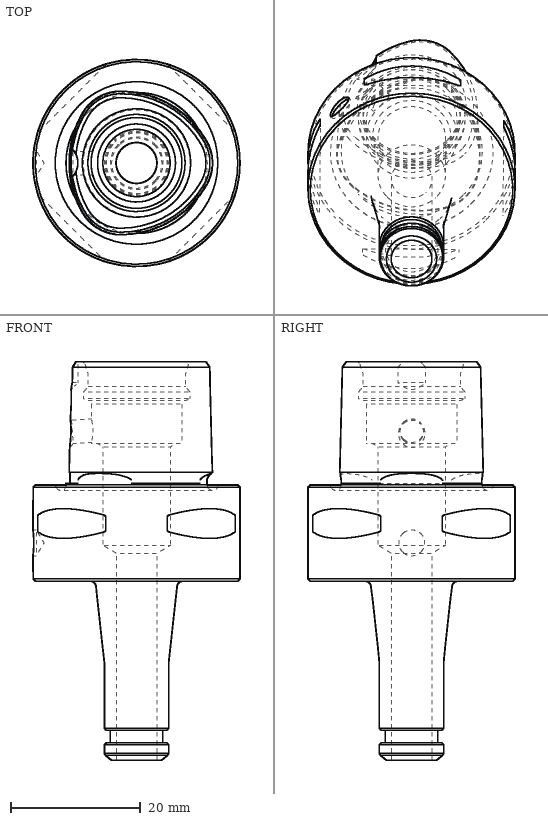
import cadquery as cq
import math

TOTAL_HEIGHT = 61.5
FLANGE_BOTTOM = 27.6
FLANGE_TOP = 42.5
NECK_TOP = 44.4

FLANGE_RADIUS = 16
FLANGE_CHAMFER = 0.35

LOBE_OFFSET = 4.9
LOBE_TIP_RADIUS = 11.75
TAPER_PER_SIDE = 1 / 40
TOP_CHAMFER_HEIGHT = 0.85
TOP_CHAMFER_WIDTH = 0.6
NECK_INSET = 0.1

NECK_RADIUS = 10.9
GROOVE_OUTER_RADIUS = 12.55
COVE_RADIUS = 1.35
SEAT_HEIGHT = 0.25

PIN_RADIUS = 5.0
PIN_ROOT_RADIUS = 6.3
PIN_ROOT_FILLET = 0.85
PIN_TAPER_BOTTOM = 15.05
PIN_EDGE_CHAMFER = 0.3
PIN_GROOVE_RADIUS = 4.05
PIN_GROOVE_BOTTOM = 2.7
PIN_GROOVE_TOP = 4.6
PIN_TIP_RADIUS = 3.9
PIN_TIP_CHAMFER_HEIGHT = 0.75
PIN_TIP_BLEND_HEIGHT = 0.35
PIN_TIP_BLEND_WIDTH = 0.2

DRILL_POINT_ANGLE = 118

MOUTH_RADIUS = 8.35
MOUTH_ROUNDING = 0.75
LEAD_RADIUS = 7.95
LEAD_DEPTH = 0.55
LAND_RADIUS = 7.5
LAND_START_DEPTH = 1.9
LAND_END_DEPTH = 3.8
CLAMP_GROOVE_RADIUS = 8.25
CLAMP_GROOVE_DEPTH = 4.7
CLAMP_COVE_DEPTH = 5.65
CLAMP_COVE_HEIGHT = 0.3
SLEEVE_RADIUS = 7.0
SLEEVE_DEPTH = 12.6
STEP_RADIUS = 6.0
WELL_RADIUS = 5.195
WELL_DEPTH = 28.3
THROUGH_RADIUS = 3.15

GRIPPER_HEIGHT = 36.55
GRIPPER_FLOOR_DISTANCE = 14.15
GRIPPER_FLOOR_HALF_HEIGHT = 1.2
GRIPPER_WALL_ANGLE = 30
GRIPPER_FLOOR_FILLET = 0.4

MARK_RADIUS = 2.0
MARK_HEIGHT = 33.6
MARK_DEPTH = 0.5

CROSS_HOLE_RADIUS = 1.815
CROSS_HOLE_MOUTH_RADIUS = 2.0
CROSS_HOLE_HEIGHT = 50.7
CROSS_HOLE_START = 10.15
CROSS_HOLE_LEAD_OUT = 0.6
CROSS_HOLE_RISE_ANGLE = 4

NOTCH_RADIUS = 3.1
NOTCH_INNER_DISTANCE = 9.05
NOTCH_DEPTH = 3.2


def polygon_outline(level, inset=0):
    """Closed three-lobed outline on a horizontal plane, moved inward by inset."""
    lobe_radius = LOBE_TIP_RADIUS - LOBE_OFFSET - inset
    side_radius = lobe_radius + LOBE_OFFSET * math.sqrt(3)
    lobe_tip = LOBE_OFFSET + lobe_radius
    side_middle = side_radius - LOBE_OFFSET

    def polar(radius, degrees):
        angle = math.radians(degrees)
        return radius * math.cos(angle), radius * math.sin(angle)

    joint_x = LOBE_OFFSET + lobe_radius * math.cos(math.radians(30))
    joint_y = lobe_radius * math.sin(math.radians(30))
    joint_radius = math.hypot(joint_x, joint_y)
    joint_angle = math.degrees(math.atan2(joint_y, joint_x))

    outline = cq.Workplane("XY").workplane(offset=level).moveTo(*polar(joint_radius, -joint_angle))
    for lobe_angle in (0, 120, 240):
        outline = outline.threePointArc(
            polar(lobe_tip, lobe_angle), polar(joint_radius, lobe_angle + joint_angle)
        )
        outline = outline.threePointArc(
            polar(side_middle, lobe_angle + 60), polar(joint_radius, lobe_angle + 120 - joint_angle)
        )
    return outline.close().wires().val()


def polygon_section(bottom, top, bottom_inset, top_inset):
    wires = [polygon_outline(bottom, bottom_inset), polygon_outline(top, top_inset)]
    return cq.Workplane(obj=cq.Solid.makeLoft(wires, True))


def make_polygon():
    chamfer_start = TOTAL_HEIGHT - TOP_CHAMFER_HEIGHT
    taper_inset = (chamfer_start - NECK_TOP) * TAPER_PER_SIDE
    taper = polygon_section(NECK_TOP, chamfer_start, 0, taper_inset)
    chamfer = polygon_section(chamfer_start, TOTAL_HEIGHT, taper_inset, taper_inset + TOP_CHAMFER_WIDTH)
    neck = polygon_section(FLANGE_TOP, NECK_TOP, NECK_INSET, NECK_INSET)
    seat = cq.Workplane("XY").workplane(offset=FLANGE_TOP).circle(NECK_RADIUS).extrude(SEAT_HEIGHT)
    return taper.union(chamfer).union(neck).union(seat)


def make_flange_and_pin():
    groove_chamfer_radius = PIN_RADIUS - PIN_EDGE_CHAMFER
    profile = (
        cq.Workplane("XZ")
        .lineTo(PIN_TIP_RADIUS, 0)
        .lineTo(PIN_RADIUS - PIN_TIP_BLEND_WIDTH, PIN_TIP_CHAMFER_HEIGHT)
        .lineTo(PIN_RADIUS, PIN_TIP_CHAMFER_HEIGHT + PIN_TIP_BLEND_HEIGHT)
        .lineTo(PIN_RADIUS, PIN_GROOVE_BOTTOM - PIN_EDGE_CHAMFER)
        .lineTo(groove_chamfer_radius, PIN_GROOVE_BOTTOM)
        .lineTo(PIN_GROOVE_RADIUS, PIN_GROOVE_BOTTOM)
        .lineTo(PIN_GROOVE_RADIUS, PIN_GROOVE_TOP)
        .lineTo(groove_chamfer_radius, PIN_GROOVE_TOP)
        .lineTo(PIN_RADIUS, PIN_GROOVE_TOP + PIN_EDGE_CHAMFER)
        .lineTo(PIN_RADIUS, PIN_TAPER_BOTTOM)
        .lineTo(PIN_ROOT_RADIUS, FLANGE_BOTTOM - PIN_ROOT_FILLET)
        .radiusArc((PIN_ROOT_RADIUS + PIN_ROOT_FILLET, FLANGE_BOTTOM), PIN_ROOT_FILLET)
        .lineTo(FLANGE_RADIUS - FLANGE_CHAMFER, FLANGE_BOTTOM)
        .lineTo(FLANGE_RADIUS, FLANGE_BOTTOM + FLANGE_CHAMFER)
        .lineTo(FLANGE_RADIUS, FLANGE_TOP - FLANGE_CHAMFER)
        .lineTo(FLANGE_RADIUS - FLANGE_CHAMFER, FLANGE_TOP)
        .lineTo(0, FLANGE_TOP)
        .close()
    )
    return profile.revolve(360, (0, 0), (0, 1))


def make_neck_groove():
    """Ring with a half-round bottom and a cove under the polygon lobes."""
    groove_radius = (GROOVE_OUTER_RADIUS - NECK_RADIUS) / 2
    profile = (
        cq.Workplane("XZ")
        .moveTo(NECK_RADIUS, FLANGE_TOP)
        .threePointArc(
            (NECK_RADIUS + groove_radius, FLANGE_TOP - groove_radius), (GROOVE_OUTER_RADIUS, FLANGE_TOP)
        )
        .lineTo(GROOVE_OUTER_RADIUS, NECK_TOP)
        .lineTo(NECK_RADIUS + COVE_RADIUS, NECK_TOP)
        .radiusArc((NECK_RADIUS, NECK_TOP - COVE_RADIUS), -COVE_RADIUS)
        .close()
    )
    return profile.revolve(360, (0, 0), (0, 1))


def make_bore():
    def at_depth(radius, depth):
        return radius, TOTAL_HEIGHT - depth

    point_slope = math.tan(math.radians(DRILL_POINT_ANGLE / 2))
    well_point = (WELL_RADIUS - THROUGH_RADIUS) / point_slope
    step_drop = (STEP_RADIUS - WELL_RADIUS) / point_slope
    seat_depth = CLAMP_COVE_DEPTH + CLAMP_COVE_HEIGHT
    profile = (
        cq.Workplane("XZ")
        .moveTo(*at_depth(0, 0))
        .lineTo(*at_depth(MOUTH_RADIUS, 0))
        .radiusArc(at_depth(LEAD_RADIUS, LEAD_DEPTH), -MOUTH_ROUNDING)
        .lineTo(*at_depth(LAND_RADIUS, LAND_START_DEPTH))
        .lineTo(*at_depth(LAND_RADIUS, LAND_END_DEPTH))
        .lineTo(*at_depth(CLAMP_GROOVE_RADIUS, CLAMP_GROOVE_DEPTH))
        .lineTo(*at_depth(CLAMP_GROOVE_RADIUS, CLAMP_COVE_DEPTH))
        .lineTo(*at_depth(LAND_RADIUS, seat_depth))
        .lineTo(*at_depth(SLEEVE_RADIUS, seat_depth + LAND_RADIUS - SLEEVE_RADIUS))
        .lineTo(*at_depth(SLEEVE_RADIUS, SLEEVE_DEPTH))
        .lineTo(*at_depth(STEP_RADIUS, SLEEVE_DEPTH))
        .lineTo(*at_depth(WELL_RADIUS, SLEEVE_DEPTH + step_drop))
        .lineTo(*at_depth(WELL_RADIUS, WELL_DEPTH))
        .lineTo(*at_depth(THROUGH_RADIUS, WELL_DEPTH + well_point))
        .lineTo(THROUGH_RADIUS, 0)
        .lineTo(0, 0)
        .close()
    )
    return profile.revolve(360, (0, 0), (0, 1))


def make_gripper_slot():
    """Trapezoidal cutter on the +X side, opening outward."""
    slot_depth = FLANGE_RADIUS - GRIPPER_FLOOR_DISTANCE
    mouth_half_height = GRIPPER_FLOOR_HALF_HEIGHT + slot_depth * math.tan(math.radians(GRIPPER_WALL_ANGLE))
    return (
        cq.Workplane("XZ")
        .moveTo(GRIPPER_FLOOR_DISTANCE, GRIPPER_HEIGHT - GRIPPER_FLOOR_HALF_HEIGHT)
        .lineTo(FLANGE_RADIUS, GRIPPER_HEIGHT - mouth_half_height)
        .lineTo(FLANGE_RADIUS, GRIPPER_HEIGHT + mouth_half_height)
        .lineTo(GRIPPER_FLOOR_DISTANCE, GRIPPER_HEIGHT + GRIPPER_FLOOR_HALF_HEIGHT)
        .close()
        .extrude(FLANGE_RADIUS, both=True)
        .edges("<X")
        .edges("|Y")
        .fillet(GRIPPER_FLOOR_FILLET)
    )


def make_mark():
    point_depth = MARK_RADIUS / math.tan(math.radians(DRILL_POINT_ANGLE / 2))
    return (
        cq.Workplane("XZ")
        .moveTo(-FLANGE_RADIUS, MARK_HEIGHT)
        .lineTo(-FLANGE_RADIUS, MARK_HEIGHT + MARK_RADIUS)
        .lineTo(-FLANGE_RADIUS + MARK_DEPTH, MARK_HEIGHT + MARK_RADIUS)
        .lineTo(-FLANGE_RADIUS + MARK_DEPTH + point_depth, MARK_HEIGHT)
        .close()
        .revolve(360, (0, MARK_HEIGHT), (1, MARK_HEIGHT))
    )


def make_cross_hole():
    """Flared drill that rises slightly on its way in to the bore."""
    flare = CROSS_HOLE_MOUTH_RADIUS - CROSS_HOLE_RADIUS
    return (
        cq.Workplane("XZ")
        .moveTo(-CROSS_HOLE_LEAD_OUT, 0)
        .lineTo(-CROSS_HOLE_LEAD_OUT, CROSS_HOLE_MOUTH_RADIUS + CROSS_HOLE_LEAD_OUT)
        .lineTo(flare, CROSS_HOLE_RADIUS)
        .lineTo(CROSS_HOLE_START, CROSS_HOLE_RADIUS)
        .lineTo(CROSS_HOLE_START, 0)
        .close()
        .revolve(360, (0, 0), (1, 0))
        .rotate((0, 0, 0), (0, 1, 0), -CROSS_HOLE_RISE_ANGLE)
        .translate((-CROSS_HOLE_START, 0, CROSS_HOLE_HEIGHT))
    )


def make_notch():
    """Vertical cutter with a 45 degree conical end, centred outside the polygon."""
    shoulder = TOTAL_HEIGHT - NOTCH_DEPTH
    cutter = (
        cq.Workplane("XZ")
        .moveTo(0, TOTAL_HEIGHT)
        .lineTo(NOTCH_RADIUS, TOTAL_HEIGHT)
        .lineTo(NOTCH_RADIUS, shoulder)
        .lineTo(0, shoulder - NOTCH_RADIUS)
        .close()
        .revolve(360, (0, 0), (0, 1))
    )
    return cutter.translate((-NOTCH_INNER_DISTANCE - NOTCH_RADIUS, 0, 0))


body = make_flange_and_pin().union(make_polygon())
body = body.cut(make_neck_groove())
body = body.cut(make_bore())

gripper_slot = make_gripper_slot()
for slot_angle in (45, 135, 225, 315):
    body = body.cut(gripper_slot.rotate((0, 0, 0), (0, 0, 1), slot_angle))

body = body.cut(make_mark())
body = body.cut(make_cross_hole())
result = body.cut(make_notch())